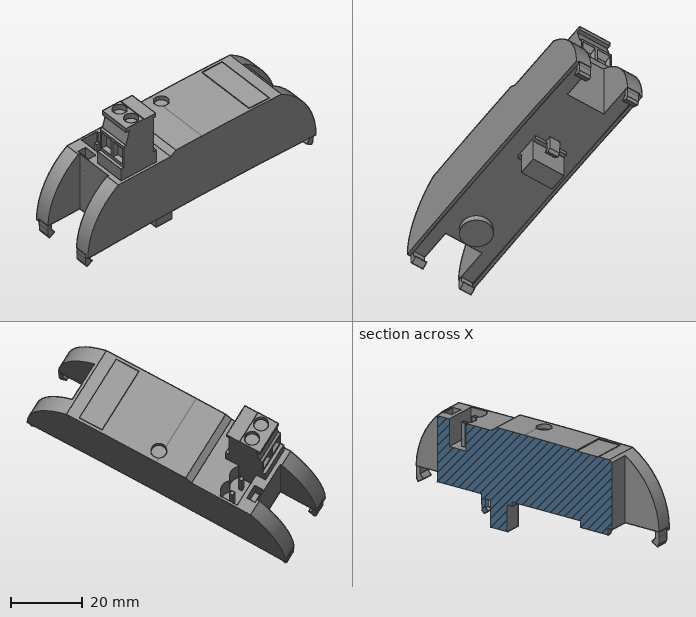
import cadquery as cq
import math

LENGTH = 83.2
WIDTH = 22.2
HALF_LENGTH = LENGTH / 2
HALF_WIDTH = WIDTH / 2

CROWN_Z = 21.4
CROWN_END_Y = 28.95
CROWN_DROP = 0.5
DECK_Z = 20.05
STEP_TOP_Y = -9.5
STEP_BOTTOM_Y = -11.4
END_RADIUS = 25.0
SKIRT_DROP = 0.75
SKIRT_THICKNESS = 1.0
OVERLAP = 0.4

SLOT_WIDTH = 12.3
SLOT_INNER_Y = 29.95

LABEL_WIDTH = 20.4
LABEL_Y = (18.0, 25.3)
LABEL_FLOOR_Z = 20.9
BUTTON_X = -7.7
BUTTON_Y = 1.1
BUTTON_DIAMETER = 4.4
BUTTON_DEPTH = 1.4

POLE_COUNT = 2
POLE_PITCH = 5.0
SOCKET_POLE_X = -7.6

SOCKET_LEFT_X = -10.4
SOCKET_Y = (-25.7, -20.1)
SOCKET_DEPTH = 8.3
LOBE_RADIUS = 3.3
PIN_Y = -22.5
PIN_WIDTH = 1.1
PIN_TOP_Z = DECK_Z - 1.1

LATCH_X = (-7.2, -2.8)
LATCH_Y = (-29.6, -26.95)
LATCH_FLOOR_Z = 15.0

PLUG_X = (0.1, 10.2)
PLUG_POLE_X = (sum(PLUG_X) - (POLE_COUNT - 1) * POLE_PITCH) / 2
PLUG_BASE_Y = (-28.7, -15.9)
PLUG_BASE_TOP_Z = 24.3
PLUG_BODY_Y = (-27.7, -17.0)
PLUG_LEDGE_Y = -26.95
PLUG_LEDGE_Z = 31.8
PLUG_LEDGE_RISE = 0.25
PLUG_NECK_Y = -25.7
PLUG_HEAD_Y = (-26.95, -16.1)
PLUG_HEAD_Z = 36.7
PLUG_STEP_Y = -20.4
PLUG_TOP_Z = 38.1
PLUG_STEP_HEIGHT = 0.25
SCREW_Y = -22.9
SCREW_DIAMETER = 4.2
SCREW_DEPTH = 1.8

WIRE_WIDTH = 4.2
WIRE_Z = (25.3, 30.9)
WIRE_DEPTH = 1.3
WIRE_SIDE_TAPER = 0.6
WIRE_BOTTOM_TAPER = 0.5
WIRE_TOP_TAPER = 1.75

BOSS_Y = 23.8
BOSS_DIAMETER = 9.5
BOSS_HEIGHT = 2.0
POST_WIDTH = 10.4
POST_Y = (-11.7, -5.9)
POST_BOTTOM_Z = -9.3
FLANGE_Y = (-12.9, -4.3)
FLANGE_THICKNESS = 1.25

ARM_HOOK_X = (6.2, 10.0)
ARM_HOOK_OUTLINE = [
    (-40.2, OVERLAP),
    (-40.2, -2.1),
    (-39.0, -3.5),
    (-40.9, -4.7),
    (-41.4, -3.75),
    (-41.5, -1.5),
    (-41.4, OVERLAP),
]
POST_HOOK_WIDTH = 3.3
POST_HOOK_OUTLINE = [
    (FLANGE_Y[0], OVERLAP),
    (FLANGE_Y[0], -FLANGE_THICKNESS),
    (-13.4, -FLANGE_THICKNESS),
    (-13.4, -3.9),
    (-12.4, -4.5),
    (-13.9, -5.7),
    (-14.7, -4.9),
    (-14.9, OVERLAP),
]


def box(x_range, y_range, z_range):
    """Axis-aligned box between the given limits."""
    return (
        cq.Workplane("XY")
        .box(x_range[1] - x_range[0], y_range[1] - y_range[0], z_range[1] - z_range[0], centered=False)
        .translate((x_range[0], y_range[0], z_range[0]))
    )


def centered_range(center, width):
    return (center - width / 2, center + width / 2)


def extrude_side(outline, x_range):
    """Extrude a closed outline of the YZ plane between two X positions."""
    return outline.extrude(x_range[1] - x_range[0]).translate((x_range[0], 0, 0))


def side_prism(points, x_range):
    return extrude_side(cq.Workplane("YZ").polyline(points).close(), x_range)


def end_arc_y(z):
    """Distance from the middle of the part to the rounded end at height z."""
    rise = z + SKIRT_DROP
    return HALF_LENGTH - END_RADIUS + math.sqrt(END_RADIUS**2 - rise**2)


def make_housing():
    crown_end_z = CROWN_Z - CROWN_DROP
    middle_z = CROWN_Z / 2
    crown_middle = (CROWN_END_Y / 2, CROWN_Z - CROWN_DROP / 4)
    outline = (
        cq.Workplane("YZ")
        .moveTo(HALF_LENGTH, -SKIRT_DROP)
        .threePointArc((end_arc_y(middle_z), middle_z), (CROWN_END_Y, crown_end_z))
        .threePointArc(crown_middle, (0, CROWN_Z))
        .lineTo(STEP_TOP_Y, CROWN_Z)
        .lineTo(STEP_BOTTOM_Y, DECK_Z)
        .lineTo(-end_arc_y(DECK_Z), DECK_Z)
        .threePointArc((-end_arc_y(middle_z), middle_z), (-HALF_LENGTH, -SKIRT_DROP))
        .threePointArc((0, 0), (HALF_LENGTH, -SKIRT_DROP))
        .close()
    )
    housing = extrude_side(outline, (-HALF_WIDTH, HALF_WIDTH))

    inner_width = WIDTH - 2 * SKIRT_THICKNESS
    under_space = box(centered_range(0, inner_width), (-LENGTH, LENGTH), (-LENGTH, 0))
    housing = housing.cut(under_space)

    slot_x = centered_range(0, SLOT_WIDTH)
    slot_z = (-LENGTH, LENGTH)
    housing = housing.cut(box(slot_x, (SLOT_INNER_Y, LENGTH), slot_z))
    return housing.cut(box(slot_x, (-LENGTH, -SLOT_INNER_Y), slot_z))


def make_top_recesses():
    label = box(centered_range(0, LABEL_WIDTH), LABEL_Y, (LABEL_FLOOR_Z, CROWN_Z))
    button = (
        cq.Workplane("XY", origin=(BUTTON_X, BUTTON_Y, CROWN_Z - BUTTON_DEPTH))
        .circle(BUTTON_DIAMETER / 2)
        .extrude(BUTTON_DEPTH + OVERLAP)
    )
    latch = box(LATCH_X, LATCH_Y, (LATCH_FLOOR_Z, DECK_Z))
    return label.union(button).union(latch)


def make_socket():
    """Two-lobed socket pocket with its contact pins left standing."""
    floor_z = DECK_Z - SOCKET_DEPTH
    socket_x = (SOCKET_LEFT_X, PLUG_X[0])
    pocket = box(socket_x, SOCKET_Y, (floor_z, DECK_Z))
    lobe_limit = box(socket_x, (SOCKET_Y[0], PIN_Y + LOBE_RADIUS), (floor_z, DECK_Z))
    for i in range(POLE_COUNT):
        pole = cq.Workplane("XY", origin=(SOCKET_POLE_X + i * POLE_PITCH, PIN_Y, floor_z))
        pocket = pocket.union(pole.circle(LOBE_RADIUS).extrude(SOCKET_DEPTH).intersect(lobe_limit))
        pocket = pocket.cut(pole.rect(PIN_WIDTH, PIN_WIDTH).extrude(PIN_TOP_Z - floor_z))
    return pocket


def make_wire_opening(pole_x):
    """Pocket that narrows from the plug front towards its back face."""
    front = (
        cq.Workplane("XZ", origin=(pole_x, PLUG_BODY_Y[0], 0))
        .center(0, sum(WIRE_Z) / 2)
        .rect(WIRE_WIDTH, WIRE_Z[1] - WIRE_Z[0])
    )
    back_width = WIRE_WIDTH - 2 * WIRE_SIDE_TAPER
    back_height = WIRE_Z[1] - WIRE_Z[0] - WIRE_TOP_TAPER - WIRE_BOTTOM_TAPER
    back_shift = (WIRE_BOTTOM_TAPER - WIRE_TOP_TAPER) / 2
    return (
        front.workplane(offset=-WIRE_DEPTH)
        .center(0, back_shift)
        .rect(back_width, back_height)
        .loft(ruled=True)
    )


def make_plug():
    low_top_z = PLUG_TOP_Z - PLUG_STEP_HEIGHT
    plug = side_prism(
        [
            (PLUG_BASE_Y[0], DECK_Z - OVERLAP),
            (PLUG_BASE_Y[0], PLUG_BASE_TOP_Z),
            (PLUG_BODY_Y[0], PLUG_BASE_TOP_Z),
            (PLUG_BODY_Y[0], PLUG_LEDGE_Z),
            (PLUG_LEDGE_Y, PLUG_LEDGE_Z + PLUG_LEDGE_RISE),
            (PLUG_NECK_Y, PLUG_HEAD_Z),
            (PLUG_HEAD_Y[0], PLUG_HEAD_Z),
            (PLUG_HEAD_Y[0], PLUG_TOP_Z),
            (PLUG_STEP_Y, PLUG_TOP_Z),
            (PLUG_STEP_Y, low_top_z),
            (PLUG_HEAD_Y[1], low_top_z),
            (PLUG_HEAD_Y[1], PLUG_HEAD_Z),
            (PLUG_BODY_Y[1], PLUG_HEAD_Z),
            (PLUG_BODY_Y[1], PLUG_BASE_TOP_Z),
            (PLUG_BASE_Y[1], PLUG_BASE_TOP_Z),
            (PLUG_BASE_Y[1], DECK_Z - OVERLAP),
        ],
        PLUG_X,
    )
    for i in range(POLE_COUNT):
        pole_x = PLUG_POLE_X + i * POLE_PITCH
        screw_hole = (
            cq.Workplane("XY", origin=(pole_x, SCREW_Y, PLUG_TOP_Z - SCREW_DEPTH))
            .circle(SCREW_DIAMETER / 2)
            .extrude(SCREW_DEPTH)
        )
        plug = plug.cut(screw_hole).cut(make_wire_opening(pole_x))
    return plug


def make_arm_hooks():
    """Four snap hooks, one under the end of each arm."""
    hook = side_prism(ARM_HOOK_OUTLINE, ARM_HOOK_X)
    front_pair = hook.union(hook.mirror("YZ"))
    return front_pair.union(front_pair.mirror("XZ"))


def make_underside():
    boss = (
        cq.Workplane("XY", origin=(0, BOSS_Y, -BOSS_HEIGHT))
        .circle(BOSS_DIAMETER / 2)
        .extrude(BOSS_HEIGHT + OVERLAP)
    )
    post_x = centered_range(0, POST_WIDTH)
    post = box(post_x, POST_Y, (POST_BOTTOM_Z, OVERLAP))
    flange = box(post_x, FLANGE_Y, (-FLANGE_THICKNESS, OVERLAP))
    hook = side_prism(POST_HOOK_OUTLINE, centered_range(0, POST_HOOK_WIDTH))
    return boss.union(post).union(flange).union(hook)


result = (
    make_housing()
    .cut(make_top_recesses())
    .cut(make_socket())
    .union(make_plug())
    .union(make_arm_hooks())
    .union(make_underside())
)